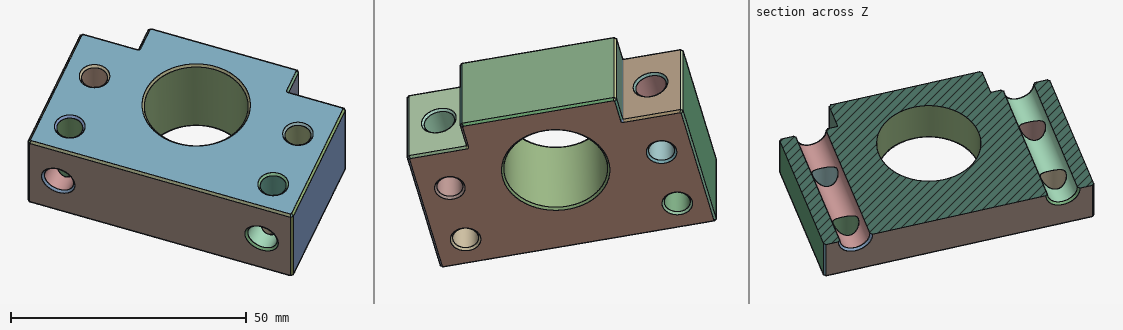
import cadquery as cq

LENGTH = 60.0
DEPTH = 39.0
HEIGHT = 20.0
TONGUE_WIDTH = 34.0
TONGUE_DEPTH = 6.5
EDGE_CHAMFER = 0.5
INNER_RADIUS = 0.05

BORE_DIAMETER = 22.0
BORE_Y = 22.0

HOLE_SPACING_X = 46.0
VERTICAL_DIAMETER = 5.5
VERTICAL_SPACING_Y = 15.0
CROSS_DIAMETER = 6.6

SHOULDER_DEPTH = DEPTH - TONGUE_DEPTH
HOLE_XS = (-HOLE_SPACING_X / 2, HOLE_SPACING_X / 2)


def make_body():
    """T-shaped block with its outer edges chamfered and its inner corners slightly rounded."""
    outline = [
        (-LENGTH / 2, 0),
        (LENGTH / 2, 0),
        (LENGTH / 2, SHOULDER_DEPTH),
        (TONGUE_WIDTH / 2, SHOULDER_DEPTH),
        (TONGUE_WIDTH / 2, DEPTH),
        (-TONGUE_WIDTH / 2, DEPTH),
        (-TONGUE_WIDTH / 2, SHOULDER_DEPTH),
        (-LENGTH / 2, SHOULDER_DEPTH),
    ]
    vertical_edges = cq.selectors.ParallelDirSelector(cq.Vector(0, 0, 1))
    inner_corners = cq.selectors.BoxSelector(
        (-TONGUE_WIDTH / 2 - EDGE_CHAMFER, SHOULDER_DEPTH - EDGE_CHAMFER, 0),
        (TONGUE_WIDTH / 2 + EDGE_CHAMFER, SHOULDER_DEPTH + EDGE_CHAMFER, HEIGHT),
    )
    block = cq.Workplane("XY").polyline(outline).close().extrude(HEIGHT)
    block = block.edges(vertical_edges - inner_corners).chamfer(EDGE_CHAMFER)
    block = block.edges(vertical_edges & inner_corners).fillet(INNER_RADIUS)
    return block.faces("<Z or >Z").chamfer(EDGE_CHAMFER)


def make_hole(diameter, length):
    """Cutter along +Z from the origin, widened at both ends to chamfer the hole mouths."""
    radius = diameter / 2
    mouth_radius = radius + EDGE_CHAMFER
    profile = [
        (0, 0),
        (mouth_radius, 0),
        (radius, EDGE_CHAMFER),
        (radius, length - EDGE_CHAMFER),
        (mouth_radius, length),
        (0, length),
    ]
    return cq.Workplane("XZ").polyline(profile).close().revolve(360, (0, 0), (0, 1))


result = make_body().cut(make_hole(BORE_DIAMETER, HEIGHT).translate((0, BORE_Y, 0)))

vertical_hole = make_hole(VERTICAL_DIAMETER, HEIGHT)
cross_hole = make_hole(CROSS_DIAMETER, SHOULDER_DEPTH).rotate((0, 0, 0), (1, 0, 0), -90)

for x in HOLE_XS:
    for y in (BORE_Y, BORE_Y - VERTICAL_SPACING_Y):
        result = result.cut(vertical_hole.translate((x, y, 0)))
    result = result.cut(cross_hole.translate((x, 0, HEIGHT / 2)))